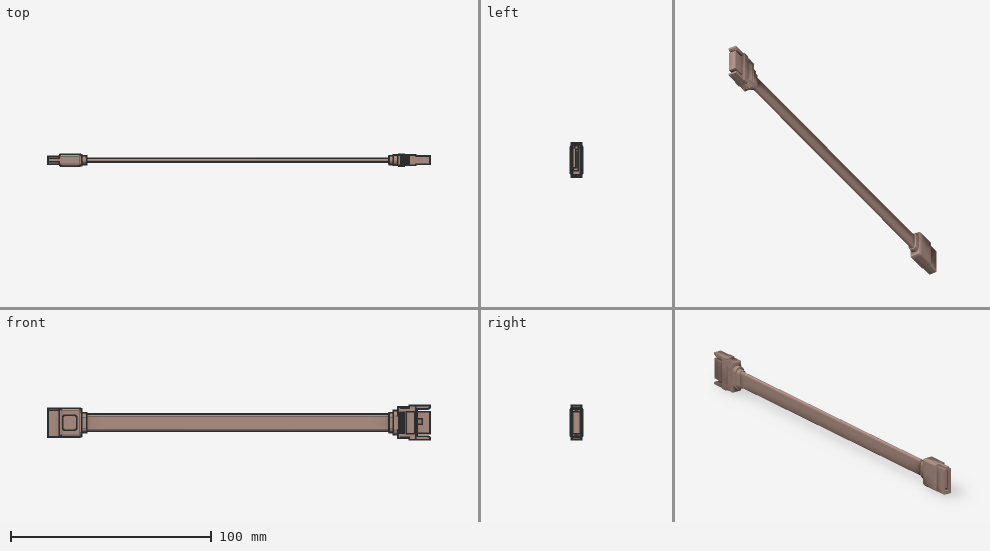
import cadquery as cq

TOTAL_LENGTH = 190.41

CABLE_THICKNESS = 2.1
CABLE_WIDTH = 8.6

RELIEF_THICKNESS = 4.4
RELIEF_WIDTH = 9.9

BODY_START = 5.8
BODY_TAPER_START = 15.6
BODY_END = 16.8
BODY_THICKNESS = 6.1
BODY_HEIGHT = 14.5
BODY_FILLET = 1.15
BODY_TAPER_DRAFT = 17
SOCKET_RELIEF_END = 19.3

NOSE_THICKNESS = 4.1
NOSE_BOTTOM = -BODY_HEIGHT / 2
NOSE_TOP = 6.1
KEY_THICKNESS = 1.7
KEY_TOP = BODY_HEIGHT / 2

SLOT_HALF_HEIGHT = 5.4
SLOT_STEM_BACK = 0.3
SLOT_STEM_FRONT = -0.86
SLOT_FOOT_BACK = 1.7
SLOT_FOOT_TOP = -3.9
SLOT_DEPTH = 5.0

LABEL_START = 7.5
LABEL_END = 14.3
LABEL_HEIGHT = 7.5
LABEL_CORNER = 0.7
LABEL_DEPTH = 0.2

PLUG_RELIEF_START = TOTAL_LENGTH - 20.6
PLUG_COLLAR_START = TOTAL_LENGTH - 18.4
PLUG_BODY_START = TOTAL_LENGTH - 16.1
PLUG_WIDE_START = TOTAL_LENGTH - 10.5
PLUG_SHOULDER = TOTAL_LENGTH - 7.1
PLUG_FACE = TOTAL_LENGTH - 6.5
RELIEF_CHAMFER = 0.3

COLLAR_THICKNESS = 5.3
COLLAR_WIDTH = 12.2
PLUG_THICKNESS = 5.3
PLUG_HEIGHT = 15.8
PLUG_WIDE_HEIGHT = 17.12
TIP_THICKNESS = 4.2

ARM_INNER = 6.7
ARM_LEAD_LENGTH = 1.1
ARM_LEAD_HEIGHT = 0.8
TONGUE_THICKNESS = 3.8
TONGUE_HEIGHT = 10.9

KEYWAY_END = TOTAL_LENGTH - 4.0
KEYWAY_TOP = 2.0
KEYWAY_BOTTOM = -0.9
KEYWAY_DEPTH = 0.4

SIDE_RIB_COUNT = 4
SIDE_RIB_START = PLUG_BODY_START + 0.4
SIDE_RIB_WIDTH = 0.45
SIDE_RIB_PITCH = 0.8
SIDE_RIB_HEIGHT = 10.4
SIDE_RIB_REACH = BODY_THICKNESS / 2

EDGE_GROOVE_COUNT = 6
EDGE_GROOVE_WIDTH = 0.35
EDGE_GROOVE_PITCH = 0.75
EDGE_GROOVE_START = PLUG_BODY_START + 1.5
EDGE_GROOVE_DEPTH = 0.6
EDGE_GROOVE_LENGTH = PLUG_THICKNESS

PANEL_START = TOTAL_LENGTH - 12.0
PANEL_END = TOTAL_LENGTH - 7.6
PANEL_HEIGHT = 10.9
PANEL_CORNER = 0.6
PANEL_DEPTH = 0.2


def block(x_start, x_end, y_start, y_end, z_start, z_end):
    """Box between the given limits."""
    size = (x_end - x_start, y_end - y_start, z_end - z_start)
    return cq.Workplane("XY").box(*size, centered=False).translate((x_start, y_start, z_start))


def centred_block(x_start, x_end, thickness, height):
    """Box centred on the cable axis."""
    return block(x_start, x_end, -thickness / 2, thickness / 2, -height / 2, height / 2)


def round_edged_bar(x_start, x_end, thickness, width):
    """Bar along X with a stadium section, rounded at +Z and -Z."""
    section = cq.Workplane("YZ", origin=(x_start, 0, 0)).slot2D(width, thickness, 90)
    return section.extrude(x_end - x_start)


def make_cable():
    return round_edged_bar(SOCKET_RELIEF_END, PLUG_RELIEF_START, CABLE_THICKNESS, CABLE_WIDTH)


def make_contact_slot():
    """L-shaped cutter: a stem along Z with a foot towards +Y."""
    bottom = -SLOT_HALF_HEIGHT
    stem = block(0, SLOT_DEPTH, SLOT_STEM_FRONT, SLOT_STEM_BACK, bottom, SLOT_HALF_HEIGHT)
    foot = block(0, SLOT_DEPTH, SLOT_STEM_FRONT, SLOT_FOOT_BACK, bottom, SLOT_FOOT_TOP)
    return stem.union(foot)


def make_socket_body():
    """Rounded grip with a tapered rear end."""
    grip = centred_block(BODY_START, BODY_TAPER_START, BODY_THICKNESS, BODY_HEIGHT)
    grip = grip.edges("|X").fillet(BODY_FILLET)
    taper = grip.faces(">X").wires().toPending().workplane()
    grip = taper.extrude(BODY_END - BODY_TAPER_START, taper=BODY_TAPER_DRAFT)
    rounding = (
        cq.Workplane("XY", origin=(0, 0, -BODY_HEIGHT / 2))
        .rect(2 * (BODY_END - BODY_START), BODY_THICKNESS)
        .extrude(BODY_HEIGHT)
        .edges("|Z")
        .fillet(BODY_FILLET)
        .translate((BODY_END, 0, 0))
    )
    return grip.intersect(rounding)


def make_socket():
    nose = block(0, BODY_START, -NOSE_THICKNESS / 2, NOSE_THICKNESS / 2, NOSE_BOTTOM, NOSE_TOP)
    key = block(0, BODY_START, -KEY_THICKNESS / 2, KEY_THICKNESS / 2, NOSE_TOP, KEY_TOP)
    relief = round_edged_bar(BODY_END, SOCKET_RELIEF_END, RELIEF_THICKNESS, RELIEF_WIDTH)
    label_face = -BODY_THICKNESS / 2
    label = block(
        LABEL_START, LABEL_END, label_face, label_face + LABEL_DEPTH, -LABEL_HEIGHT / 2, LABEL_HEIGHT / 2
    )
    label = label.edges("|Y").chamfer(LABEL_CORNER)
    socket = make_socket_body().union(nose).union(key).union(relief)
    return socket.cut(make_contact_slot()).cut(label)


def make_plug_shell():
    """Relief, collar and stepped body of the plug up to its face."""
    relief = round_edged_bar(PLUG_RELIEF_START, PLUG_COLLAR_START, RELIEF_THICKNESS, RELIEF_WIDTH)
    relief = relief.faces("<X").chamfer(RELIEF_CHAMFER)
    collar = round_edged_bar(PLUG_COLLAR_START, PLUG_BODY_START, COLLAR_THICKNESS, COLLAR_WIDTH)
    rear = centred_block(PLUG_BODY_START, PLUG_WIDE_START, PLUG_THICKNESS, PLUG_HEIGHT)
    wide = centred_block(PLUG_WIDE_START, PLUG_SHOULDER, PLUG_THICKNESS, PLUG_WIDE_HEIGHT)
    face = centred_block(PLUG_SHOULDER, PLUG_FACE, TIP_THICKNESS, PLUG_WIDE_HEIGHT)
    return relief.union(collar).union(rear).union(wide).union(face)


def make_upper_arm():
    """Latch arm at +Z with a sloped lead-in on its inner side."""
    outline = [
        (PLUG_FACE, ARM_INNER),
        (TOTAL_LENGTH - ARM_LEAD_LENGTH, ARM_INNER),
        (TOTAL_LENGTH, ARM_INNER + ARM_LEAD_HEIGHT),
        (TOTAL_LENGTH, PLUG_WIDE_HEIGHT / 2),
        (PLUG_FACE, PLUG_WIDE_HEIGHT / 2),
    ]
    return cq.Workplane("XZ").polyline(outline).close().extrude(TIP_THICKNESS / 2, both=True)


def make_tongue():
    tongue = centred_block(PLUG_FACE, TOTAL_LENGTH, TONGUE_THICKNESS, TONGUE_HEIGHT)
    front = -TONGUE_THICKNESS / 2
    keyway = block(PLUG_FACE, KEYWAY_END, front, front + KEYWAY_DEPTH, KEYWAY_BOTTOM, KEYWAY_TOP)
    return tongue.cut(keyway)


def make_panels():
    """Cutters for the shallow panels on both broad faces of the plug."""
    core = centred_block(PANEL_START, PANEL_END, PLUG_THICKNESS - 2 * PANEL_DEPTH, PANEL_HEIGHT)
    full = centred_block(PANEL_START, PANEL_END, PLUG_THICKNESS, PANEL_HEIGHT)
    return full.edges("|Y and >X").chamfer(PANEL_CORNER).cut(core)


def make_plug():
    arm = make_upper_arm()
    plug = make_plug_shell().union(arm).union(arm.mirror("XY")).union(make_tongue())
    for index in range(SIDE_RIB_COUNT):
        start = SIDE_RIB_START + index * SIDE_RIB_PITCH
        rib = centred_block(start, start + SIDE_RIB_WIDTH, 2 * SIDE_RIB_REACH, SIDE_RIB_HEIGHT)
        plug = plug.union(rib)
    floor = PLUG_HEIGHT / 2 - EDGE_GROOVE_DEPTH
    half_length = EDGE_GROOVE_LENGTH / 2
    for index in range(EDGE_GROOVE_COUNT):
        start = EDGE_GROOVE_START + index * EDGE_GROOVE_PITCH
        end = start + EDGE_GROOVE_WIDTH
        groove = block(start, end, -half_length, half_length, floor, PLUG_HEIGHT / 2)
        plug = plug.cut(groove).cut(groove.mirror("XY"))
    return plug.cut(make_panels())


socket = make_socket()
cable = make_cable()
plug = make_plug()
result = cq.Compound.makeCompound([socket.val(), cable.val(), plug.val()])